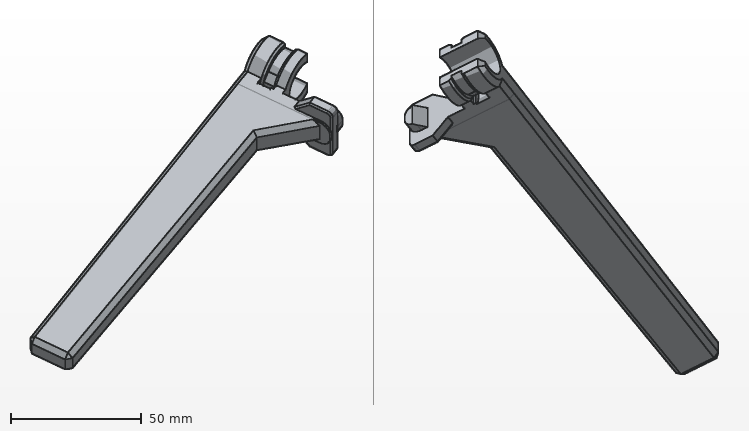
import cadquery as cq

clip_radius = 12.5
bore_radius = 8.05
clip_width = 19.2
mouth_y = 5.0
edge_chamfer = 2.0

groove_start = 9.3
groove_end = 14.0
groove_floor_radius = 10.2
groove_outer_radius = 14.9
groove_lip = 1.0
groove_lip_depth = 0.7
ledge_y = -10.7
ledge_top_y = -7.5
ledge_half_height = 7.1
ledge_foot_half_height = 4.3

total_length = 173.0
arm_end_y = mouth_y - total_length
arm_start_y = -18.0
root_half_height = 6.0
end_half_height = 5.0
brace_bottom_x = 21.5
brace_bottom_y = -35.5
brace_top_x = brace_bottom_x + arm_start_y - brace_bottom_y
arm_end_width = 19.0

crossbar_y = -13.0
crossbar_end_x = 43.6
tip_radius = 4.8
hook_height = 4.3
hook_base_x = 35.8
hook_top_x = hook_base_x + hook_height

plate_end_x = 44.0
plate_half_height = 13.0
plate_thickness = 4.2
plate_slope_top_x = 33.5
plate_slope_bottom_x = plate_slope_top_x - (plate_half_height - root_half_height)
plate_corner_radius = 2.2
plate_edge_chamfer = 0.7


def x_cylinder(radius, start, end):
    """Cylinder on the X axis."""
    return cq.Workplane("YZ").workplane(offset=start).circle(radius).extrude(end - start)


def y_prism(points, near_y, far_y):
    """Prism with an (x, z) outline, running from far_y down to near_y."""
    return cq.Workplane("XZ", origin=(0, far_y, 0)).polyline(points).close().extrude(far_y - near_y)


def make_arm():
    outline = [
        (0, arm_start_y),
        (brace_top_x, arm_start_y),
        (brace_bottom_x, brace_bottom_y),
        (arm_end_width, arm_end_y),
        (0, arm_end_y),
    ]
    plan = (
        cq.Workplane("XY", origin=(0, 0, -root_half_height))
        .polyline(outline).close().extrude(2 * root_half_height)
    )
    side = [
        (arm_start_y, root_half_height),
        (arm_start_y, -root_half_height),
        (arm_end_y, -end_half_height),
        (arm_end_y, end_half_height),
    ]
    taper = cq.Workplane("YZ").polyline(side).close().extrude(brace_top_x)
    arm = plan.intersect(taper)
    long_edges = arm.edges("not(|X or |Z)")
    end_edges = arm.faces("<Y").edges()
    return arm.newObject(long_edges.vals() + end_edges.vals()).chamfer(edge_chamfer)


def make_neck():
    """Block joining the arm to the clip, chamfered along its left edges."""
    neck = cq.Workplane("XY").box(
        clip_width, -bore_radius - arm_start_y, 2 * root_half_height, centered=(False, False, True)
    )
    return neck.edges("<X and |Y").chamfer(edge_chamfer).translate((0, arm_start_y, 0))


def make_clip():
    ring = x_cylinder(clip_radius, 0, clip_width)
    mouth_trim = cq.Workplane("XY").box(
        clip_width, clip_radius + mouth_y, 2 * clip_radius, centered=(False, False, True)
    ).translate((0, -clip_radius, 0))
    return ring.intersect(mouth_trim).faces("<X").edges().chamfer(edge_chamfer)


def make_groove():
    groove = x_cylinder(groove_outer_radius, groove_start, groove_end)
    groove = groove.cut(x_cylinder(groove_floor_radius, groove_start, groove_end))
    ledge_outline = [
        (0, ledge_half_height),
        (ledge_top_y, ledge_half_height),
        (ledge_y, ledge_foot_half_height),
        (ledge_y, -ledge_foot_half_height),
        (ledge_top_y, -ledge_half_height),
        (0, -ledge_half_height),
    ]
    ledge = (
        cq.Workplane("YZ", origin=(groove_start, 0, 0))
        .polyline(ledge_outline).close().extrude(groove_end - groove_start)
    )
    return groove.cut(ledge)


def make_groove_lips():
    """Flared rims of the groove on the outside of the clip."""
    inner = clip_radius - groove_lip_depth
    profile = [
        (groove_start, inner),
        (groove_start - groove_lip, clip_radius),
        (groove_start - groove_lip, groove_outer_radius),
        (groove_end + groove_lip, groove_outer_radius),
        (groove_end + groove_lip, clip_radius),
        (groove_end, inner),
    ]
    return cq.Workplane("XY").polyline(profile).close().revolve(360, (0, 0, 0), (1, 0, 0))


def make_crossbar():
    """Bar reaching to the tip, with the hook rising from its end."""
    profile = [
        (clip_width / 2, arm_start_y),
        (crossbar_end_x, arm_start_y),
        (crossbar_end_x, crossbar_y + hook_height),
        (hook_top_x, crossbar_y + hook_height),
        (hook_base_x, crossbar_y),
        (clip_width / 2, crossbar_y),
    ]
    bar = (
        cq.Workplane("XY", origin=(0, 0, -root_half_height))
        .polyline(profile).close().extrude(2 * root_half_height)
    )
    return bar.faces(">X").edges("|Y").fillet(tip_radius)


def make_plate():
    outline = [
        (plate_slope_bottom_x, root_half_height),
        (plate_slope_top_x, plate_half_height),
        (plate_end_x, plate_half_height),
        (plate_end_x, -plate_half_height),
        (plate_slope_top_x, -plate_half_height),
        (plate_slope_bottom_x, -root_half_height),
    ]
    plate = y_prism(outline, crossbar_y - plate_thickness, crossbar_y)
    plate = plate.edges("|Y and >X").fillet(plate_corner_radius)
    return plate.faces("<Y").edges().chamfer(plate_edge_chamfer)


body = make_arm().union(make_neck()).union(make_clip())
body = body.cut(make_groove()).cut(make_groove_lips())
body = body.cut(x_cylinder(bore_radius, 0, clip_width))
result = body.union(make_crossbar().cut(make_groove())).union(make_plate())